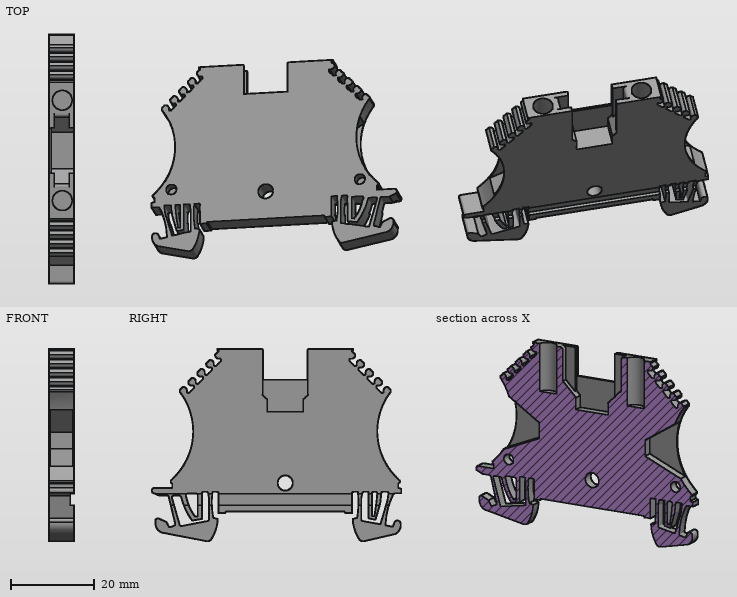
import cadquery as cq
import math

thickness = 6.1
body_top = 39.1
clearance = 0.6
wall = 0.55

notch_half = 5.35
notch_floor = 31.75
pocket_half = 5.45
notch_corner_radius = 0.35
slot_x_start = 1.25
slot_width = 3.65
slot_end = 8.0
slot_lip_radius = 0.8
pit_slope_top = 30.6
pit_half = 4.4
pit_floor = 24.0

shoulder_sum = 54.65
shoulder_top_y = 16.0
top_end_y = 16.4
top_end_height = 0.3
first_groove_y = 17.5
groove_step_y = 2.15
groove_count = 4
tooth_pitch = groove_step_y * math.sqrt(2)
tooth_radius = 0.95
tooth_center_depth = 0.7
neck_depth = 1.55
groove_depth = 2.1
groove_floor_half = 0.7
groove_corner_half = 1.0
groove_corner_depth = 1.9

grip_radius = 15.6
grip_center_z = 19.3
grip_innermost_y = 22.15
grip_center_y = grip_innermost_y + grip_radius
grip_bottom_z = grip_center_z - grip_radius * math.sqrt(0.5)
tip_z = 28.85
nose_root_z = 6.7
end_y = 27.2
shelf_z = 4.75
foot_root_z = 5.75
release_window_top = 4.3

funnel_width = 5.35
funnel_back_y = 14.7
funnel_mouth_top, funnel_mouth_bottom = 24.5, 10.85
funnel_back_top, funnel_back_bottom = 19.15, 15.2
funnel_top_edge_y, funnel_bottom_edge_y = 23.05, 24.85

screw_hole_diameter = 4.75
screw_hole_x = 3.25
screw_hole_y = 12.05
screw_hole_depth = 12.0
center_hole_diameter = 3.6
center_hole_z = 6.9
pin_hole_diameter = 2.5
pin_hole_y = 23.05
pin_hole_z = 8.65
pin_hole_depth = 3.0

side_groove_depth = 0.9
side_groove_length = 72.0
side_groove_bottom, side_groove_top = 1.55, 4.3


def grip_y(z):
    """Y of the concave end at height z."""
    return grip_center_y - math.sqrt(grip_radius**2 - (z - grip_center_z) ** 2)


def toward(start, end, distance):
    """Point at a distance from start on the line to end."""
    length = math.dist(start, end)
    return tuple(s + (e - s) * distance / length for s, e in zip(start, end))


def end_point(entry):
    """Corner point or arc end of an outline entry."""
    return entry[-2:] if len(entry) == 4 else entry[:2]


def round_corner(before, corner, after, radius):
    """Start, middle and end of the arc that rounds a corner between two straight edges."""
    to_before = math.atan2(before[1] - corner[1], before[0] - corner[0])
    to_after = math.atan2(after[1] - corner[1], after[0] - corner[0])
    half_angle = abs(math.remainder(to_after - to_before, 2 * math.pi)) / 2
    start = toward(corner, before, radius / math.tan(half_angle))
    end = toward(corner, after, radius / math.tan(half_angle))
    chord_middle = ((start[0] + end[0]) / 2, (start[1] + end[1]) / 2)
    middle = toward(corner, chord_middle, radius / math.sin(half_angle) - radius)
    return start, middle, end


def plate(outline, x_start=0.0, width=thickness):
    """Extrude a closed YZ outline along X.

    Entries are (y, z) for a sharp corner, (y, z, radius) for a rounded corner between
    straight edges, or (y_mid, z_mid, y_end, z_end) for an arc. The first entry is sharp.
    """
    path = cq.Workplane("YZ").workplane(offset=x_start).moveTo(*outline[0])
    for index in range(1, len(outline)):
        entry = outline[index]
        if len(entry) == 4:
            path = path.threePointArc(entry[:2], entry[2:])
        elif len(entry) == 3:
            following = outline[(index + 1) % len(outline)]
            before = end_point(outline[index - 1])
            start, middle, end = round_corner(before, entry[:2], following[:2], entry[2])
            path = path.lineTo(*start).threePointArc(middle, end)
        else:
            path = path.lineTo(*entry)
    return path.close().extrude(width)


def both_ends(solid):
    """Add the mirror image at the -Y end."""
    return solid.union(solid.mirror("XZ"))


def half_body(nose_y, nose_underside_z):
    """+Y half of the body, its lower corner ending in a small nose."""
    grip_bottom_y = grip_y(grip_bottom_z)
    grip_top_y = grip_y(tip_z)
    return plate([
        (0, 0),
        (14.2, 0),
        (14.45, -0.35),
        (16.1, -0.35),
        (16.1, shelf_z, 0.25),
        (end_y, shelf_z),
        (end_y, nose_root_z),
        (nose_y, nose_underside_z),
        (nose_y, grip_bottom_y + grip_bottom_z - nose_y),
        (grip_bottom_y, grip_bottom_z),
        (grip_innermost_y, grip_center_z, grip_top_y, tip_z),
        (grip_top_y, shoulder_sum - grip_top_y),
        (shoulder_top_y, shoulder_sum - shoulder_top_y),
        (top_end_y, body_top - top_end_height),
        (top_end_y, body_top),
        (notch_half, body_top, notch_corner_radius),
        (notch_half, notch_floor),
        (0, notch_floor),
    ])


def tooth_groove(y):
    """Undercut groove between two round-headed teeth, normal to the shoulder."""
    half_pitch = tooth_pitch / 2
    mouth_half = half_pitch - math.sqrt(tooth_radius**2 - tooth_center_depth**2)
    throat_half = half_pitch - tooth_radius
    neck_half = half_pitch - math.sqrt(tooth_radius**2 - (neck_depth - tooth_center_depth) ** 2)
    groove = plate([
        (-mouth_half, 0),
        (-throat_half, -tooth_center_depth, -neck_half, -neck_depth),
        (-groove_corner_half, -groove_corner_depth, -groove_floor_half, -groove_depth),
        (groove_floor_half, -groove_depth),
        (groove_corner_half, -groove_corner_depth, neck_half, -neck_depth),
        (throat_half, -tooth_center_depth, mouth_half, 0),
        (mouth_half, clearance),
        (-mouth_half, clearance),
    ])
    return groove.rotate((0, 0, 0), (1, 0, 0), -45).translate((0, y, shoulder_sum - y))


def fixed_foot():
    """Foot at the +Y end, with a short lip above it."""
    outline = [
        (17.45, foot_root_z),
        (17.45, shelf_z),
        (17.6, 2.05, 17.3, -1.45),
        (16.2, -1.75),
        (16.5, -3.8, 17.65, -6.4),
        (18.1, -6.95, 19.1, -7.1),
        (26.4, -5.4),
        (27.4, -4.5, 27.8, -2.95),
        (27.0, -2.1, 26.2, -2.6),
        (25.85, -3.6),
        (24.05, -3.25, 0.25),
        (24.2, -2.65),
        (25.1, 2.05, 25.9, 4.0),
        (26.1, 4.3, 26.45, 4.4),
        (27.9, 4.4),
        (27.9, 5.5),
        (end_y, foot_root_z),
    ]
    outer_window = [
        (22.85, 2.05),
        (21.7, -2.0, 0.3),
        (20.0, -1.6, 0.3),
        (20.0, shelf_z, 0.05),
        (18.6, shelf_z, 0.25),
        (18.3, 3.25),
        (18.3, -2.15, 0.3),
        (22.85, -3.0, 0.25),
        (24.55, 2.65),
        (24.85, shelf_z, 0.25),
        (23.15, shelf_z, 0.2),
    ]
    inner_window = [
        (21.85, 1.8),
        (22.15, shelf_z, 0.3),
        (20.9, shelf_z, 0.3),
        (20.9, -1.1),
        (21.4, -1.1),
    ]
    return plate(outline).cut(plate(outer_window)).cut(plate(inner_window))


def release_foot():
    """Foot at the -Y end, with a long release tongue above it."""
    outline = [
        (-17.45, foot_root_z),
        (-17.45, shelf_z),
        (-17.65, 1.8, -17.3, -1.45),
        (-16.2, -1.75),
        (-16.5, -3.8, -17.65, -6.4),
        (-18.1, -6.95, -19.1, -7.1),
        (-29.05, -5.15),
        (-30.7, -4.25, -31.2, -2.5),
        (-31.0, -1.75, -30.35, -1.6),
        (-28.55, -2.45),
        (-27.85, -3.8, 0.2),
        (-26.4, -3.2, 0.2),
        (-28.1, 3.85, 0.35),
        (-30.25, 3.85),
        (-31.9, 4.55),
        (-32.1, 5.05, -31.45, foot_root_z),
    ]
    outer_window = [
        (-20.0, 1.8),
        (-20.0, -1.75, 0.2),
        (-22.4, -2.15, 0.25),
        (-24.05, 0.7, -25.0, 3.5),
        (-25.15, 3.7, -25.45, 3.85),
        (-27.35, 3.85, 0.35),
        (-25.25, -3.5, 0.3),
        (-18.35, -2.15, 0.35),
        (-18.35, 3.25),
        (-18.6, shelf_z, 0.25),
        (-20.0, shelf_z, 0.25),
    ]
    inner_window = [
        (-21.05, 1.8),
        (-21.05, release_window_top, 0.3),
        (-24.1, release_window_top, 0.4),
        (-23.7, 3.3),
        (-23.05, 1.2, -21.65, -1.2),
        (-21.05, -1.1),
    ]
    return plate(outline).cut(plate(outer_window)).cut(plate(inner_window))


def half_pit():
    """+Y half of the notch pocket, with its sloped slot and the pit at the middle."""
    slope_at_pocket = pit_slope_top - (slot_end - pocket_half)
    slope_bottom = pit_slope_top - (slot_end - pit_half)
    pocket = plate([
        (0, pit_floor),
        (pit_half, pit_floor),
        (pit_half, slope_bottom),
        (pocket_half, slope_at_pocket),
        (pocket_half, body_top),
        (0, body_top),
    ], wall, thickness - wall)
    lip_center_y = slot_end + slot_lip_radius
    lip_middle = slot_lip_radius * math.sqrt(0.5)
    slot = plate([
        (0, body_top),
        (0, slope_bottom),
        (pit_half, slope_bottom),
        (slot_end, pit_slope_top),
        (slot_end, body_top - slot_lip_radius),
        (lip_center_y - lip_middle, body_top - slot_lip_radius + lip_middle, lip_center_y, body_top),
    ], slot_x_start, slot_width)
    return pocket.union(slot)


def funnel():
    """Tapered wire entry opening through the concave end."""
    return plate([
        (funnel_back_y, funnel_back_bottom),
        (funnel_bottom_edge_y, funnel_mouth_bottom),
        (funnel_top_edge_y, funnel_mouth_top),
        (funnel_back_y, funnel_back_top),
    ], (thickness - funnel_width) / 2, funnel_width)


def screw_hole():
    return (
        cq.Workplane("XY")
        .workplane(offset=body_top - screw_hole_depth)
        .center(screw_hole_x, screw_hole_y)
        .circle(screw_hole_diameter / 2)
        .extrude(screw_hole_depth)
    )


def side_groove():
    """Shallow groove along the whole length of the open side."""
    height = side_groove_top - side_groove_bottom
    return (
        cq.Workplane("XY")
        .box(side_groove_depth, side_groove_length, height, centered=(False, True, False))
        .translate((thickness - side_groove_depth, 0, side_groove_bottom))
    )


def cross_hole(diameter, y, z, depth):
    """Round hole along X from the closed face."""
    return cq.Workplane("YZ").center(y, z).circle(diameter / 2).extrude(depth)


result = (
    half_body(nose_y=27.65, nose_underside_z=7.2)
    .union(half_body(nose_y=27.55, nose_underside_z=7.0).mirror("XZ"))
    .union(fixed_foot())
    .union(release_foot())
)

for groove_index in range(groove_count):
    groove_y = first_groove_y + groove_index * groove_step_y
    result = result.cut(both_ends(tooth_groove(groove_y)))

result = result.cut(both_ends(half_pit()))
result = result.cut(both_ends(funnel()))
result = result.cut(both_ends(screw_hole()))
result = result.cut(both_ends(cross_hole(pin_hole_diameter, pin_hole_y, pin_hole_z, pin_hole_depth)))
result = result.cut(cross_hole(center_hole_diameter, 0, center_hole_z, thickness))
result = result.cut(side_groove())